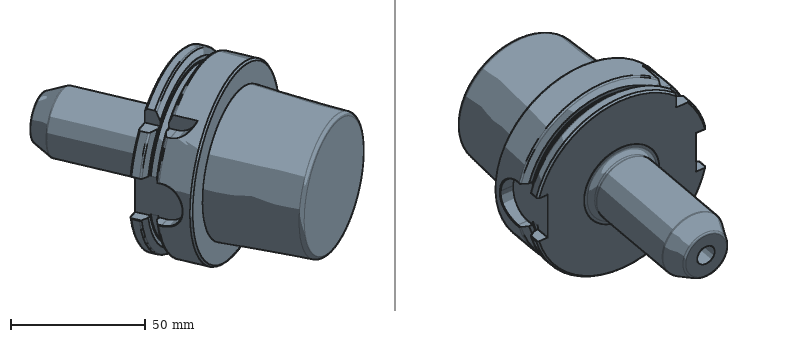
import cadquery as cq
import math

TOTAL_LENGTH = 120.0
TAPER_LENGTH = 40.0
FLANGE_WIDTH = 26.0
TAPER_FACE = TOTAL_LENGTH - TAPER_LENGTH
FLANGE_FACE = TAPER_FACE - FLANGE_WIDTH

TIP_RADIUS = 10.0
TIP_ROUNDING = 1.0
CONE_ANGLE = math.radians(25)
NOSE_RADIUS = 28.0 / 2
NECK_RADIUS = 27.8 / 2
STEP_LENGTH = 0.35
NECK_LENGTH = 3.0
NECK_FILLET = 2.0
FACE_RECESS_RADIUS = 34.5 / 2
FACE_RECESS_DEPTH = 0.1

FLANGE_RADIUS = 80.0 / 2
FLANGE_CHAMFER = 0.8
GROOVE_SETBACK = 18.0
GROOVE_CENTRE = TAPER_FACE - GROOVE_SETBACK
GROOVE_MOUTH = 7.0
GROOVE_FLOOR_WIDTH = 3.5
GROOVE_FLOOR_RADIUS = 35.0
GROOVE_WALL_ANGLE = math.radians(60)
GROOVE_LIP_ROUNDING = 0.9
GROOVE_CORNER_FILLET = 0.3

TAPER_START_RADIUS = 30.4
TAPER_RATIO = 1 / 20
TAPER_END_FILLET = 1.5

CUTTER_RADIUS = 9.0
SLOT_LENGTH = 22.0
SLOT_BOTTOM = 34.0
FRONT_SLOT_WIDTH = 18.0
BACK_SLOT_WIDTH = 20.0
SLOT_RIM_CHAMFER = 0.3
NOTCH_INSET = 25.0

BORE_DIAMETER = 8.0
BORE_DEPTH = 37.0
PILOT_DIAMETER = 6.8
PILOT_END = 50.0
SHOULDER_ANGLE = math.radians(60)

TOLERANCE = 1e-3


def revolve_about_x(profile):
    """Turn a closed (x, radius) profile around the X axis."""
    return profile.revolve(360, (0, 0, 0), (1, 0, 0))


def make_nose():
    cone_length = (NECK_RADIUS - TIP_RADIUS) / math.tan(CONE_ANGLE)
    fillet_end = FLANGE_FACE + FACE_RECESS_DEPTH
    fillet_start = fillet_end - NECK_FILLET
    neck_start = FLANGE_FACE - NECK_LENGTH
    mid_offset = NECK_FILLET * math.sqrt(0.5)
    fillet_top = NECK_RADIUS + NECK_FILLET
    nose = revolve_about_x(
        cq.Workplane("XZ")
        .moveTo(0, 0)
        .lineTo(0, TIP_RADIUS)
        .lineTo(cone_length, NECK_RADIUS)
        .lineTo(cone_length + STEP_LENGTH, NOSE_RADIUS)
        .lineTo(neck_start - STEP_LENGTH, NOSE_RADIUS)
        .lineTo(neck_start, NECK_RADIUS)
        .lineTo(fillet_start, NECK_RADIUS)
        .threePointArc(
            (fillet_start + mid_offset, fillet_top - mid_offset),
            (fillet_end, fillet_top),
        )
        .lineTo(fillet_end, 0)
        .close()
    )
    return nose.faces("<X").edges().fillet(TIP_ROUNDING)


def make_flange():
    blank = revolve_about_x(
        cq.Workplane("XZ")
        .moveTo(FLANGE_FACE, 0)
        .lineTo(FLANGE_FACE, FLANGE_RADIUS - FLANGE_CHAMFER)
        .lineTo(FLANGE_FACE + FLANGE_CHAMFER, FLANGE_RADIUS)
        .lineTo(TAPER_FACE - FLANGE_CHAMFER, FLANGE_RADIUS)
        .lineTo(TAPER_FACE, FLANGE_RADIUS - FLANGE_CHAMFER)
        .lineTo(TAPER_FACE, 0)
        .close()
    )
    face_recess = (
        cq.Workplane("YZ", origin=(FLANGE_FACE, 0, 0))
        .circle(FACE_RECESS_RADIUS)
        .extrude(FACE_RECESS_DEPTH)
    )
    return cut_slots(blank).cut(make_groove()).cut(face_recess)


def make_groove():
    """Ring that cuts the gripper groove together with its rounded lips."""
    half_mouth = GROOVE_MOUTH / 2
    half_floor = GROOVE_FLOOR_WIDTH / 2
    wall_drop = (half_mouth - half_floor) * math.tan(GROOVE_WALL_ANGLE)
    wall_foot_radius = FLANGE_RADIUS - wall_drop
    lip_tangent = GROOVE_LIP_ROUNDING * math.tan(GROOVE_WALL_ANGLE / 2)
    lip_half_width = half_mouth + lip_tangent
    wall_half_width = half_mouth - lip_tangent * math.cos(GROOVE_WALL_ANGLE)
    wall_top_radius = FLANGE_RADIUS - lip_tangent * math.sin(GROOVE_WALL_ANGLE)
    corner_top_radius = GROOVE_FLOOR_RADIUS + GROOVE_CORNER_FILLET
    flat_half_width = half_floor - GROOVE_CORNER_FILLET
    return revolve_about_x(
        cq.Workplane("XZ")
        .moveTo(GROOVE_CENTRE - lip_half_width, FLANGE_RADIUS)
        .radiusArc((GROOVE_CENTRE - wall_half_width, wall_top_radius), GROOVE_LIP_ROUNDING)
        .lineTo(GROOVE_CENTRE - half_floor, wall_foot_radius)
        .lineTo(GROOVE_CENTRE - half_floor, corner_top_radius)
        .radiusArc((GROOVE_CENTRE - flat_half_width, GROOVE_FLOOR_RADIUS), -GROOVE_CORNER_FILLET)
        .lineTo(GROOVE_CENTRE + flat_half_width, GROOVE_FLOOR_RADIUS)
        .radiusArc((GROOVE_CENTRE + half_floor, corner_top_radius), -GROOVE_CORNER_FILLET)
        .lineTo(GROOVE_CENTRE + half_floor, wall_foot_radius)
        .lineTo(GROOVE_CENTRE + wall_half_width, wall_top_radius)
        .radiusArc((GROOVE_CENTRE + lip_half_width, FLANGE_RADIUS), GROOVE_LIP_ROUNDING)
        .close()
    )


def make_taper():
    end_radius = TAPER_START_RADIUS - TAPER_LENGTH * TAPER_RATIO
    taper = revolve_about_x(
        cq.Workplane("XZ")
        .moveTo(TAPER_FACE, 0)
        .lineTo(TAPER_FACE, TAPER_START_RADIUS)
        .lineTo(TOTAL_LENGTH, end_radius)
        .lineTo(TOTAL_LENGTH, 0)
        .close()
    )
    return taper.faces(">X").edges().fillet(TAPER_END_FILLET)


def make_slot(z_min, z_max, y_inner, y_outer):
    """Slot running in from the flange face, its two end corners rounded by the cutter."""
    slot_end = FLANGE_FACE + SLOT_LENGTH
    arc_start = slot_end - CUTTER_RADIUS
    block = cq.Workplane("XZ", origin=(0, y_inner, 0)).moveTo(FLANGE_FACE, z_min)
    block = block.lineTo(arc_start, z_min)
    block = block.radiusArc((slot_end, z_min + CUTTER_RADIUS), -CUTTER_RADIUS)
    if z_max - z_min > 2 * CUTTER_RADIUS:
        block = block.lineTo(slot_end, z_max - CUTTER_RADIUS)
    block = block.radiusArc((arc_start, z_max), -CUTTER_RADIUS)
    block = block.lineTo(FLANGE_FACE, z_max).close()
    return block.extrude(y_inner - y_outer)


def cut_slots(flange):
    """Cut the two drive slots, bevel their edges on the rim, then cut the plain corner notch."""
    front_half = FRONT_SLOT_WIDTH / 2
    back_half = BACK_SLOT_WIDTH / 2
    notch_top = NOTCH_INSET + 2 * CUTTER_RADIUS
    front_slot = make_slot(-front_half, front_half, -SLOT_BOTTOM, -FLANGE_RADIUS)
    back_slot = make_slot(-back_half, back_half, SLOT_BOTTOM, FLANGE_RADIUS)
    corner_notch = make_slot(NOTCH_INSET, notch_top, -NOTCH_INSET, -FLANGE_RADIUS)
    slotted = flange.cut(front_slot).cut(back_slot)
    rim_edges = [edge for edge in slotted.edges().vals() if is_slot_rim(edge)]
    return slotted.newObject(rim_edges).chamfer(SLOT_RIM_CHAMFER).cut(corner_notch)


def is_slot_rim(edge):
    """True for an edge where a slot wall leaves through the cylindrical rim."""
    chamfer_end = FLANGE_FACE + FLANGE_CHAMFER
    on_rim = all(
        abs(math.hypot(point.y, point.z) - FLANGE_RADIUS) < TOLERANCE
        for point in (edge.startPoint(), edge.endPoint())
    )
    middle = edge.positionAt(0.5)
    in_slot = abs(middle.z) < BACK_SLOT_WIDTH / 2 + TOLERANCE
    past_chamfer = chamfer_end + TOLERANCE < middle.x < FLANGE_FACE + SLOT_LENGTH + TOLERANCE
    return on_rim and in_slot and past_chamfer


def make_bore():
    """Tool bore from the tip, a conical shoulder and a flat-ended pilot hole behind it."""
    bore_radius = BORE_DIAMETER / 2
    pilot_radius = PILOT_DIAMETER / 2
    shoulder_length = (bore_radius - pilot_radius) / math.tan(SHOULDER_ANGLE)
    return revolve_about_x(
        cq.Workplane("XZ")
        .moveTo(0, 0)
        .lineTo(0, bore_radius)
        .lineTo(BORE_DEPTH, bore_radius)
        .lineTo(BORE_DEPTH + shoulder_length, pilot_radius)
        .lineTo(PILOT_END, pilot_radius)
        .lineTo(PILOT_END, 0)
        .close()
    )


result = make_flange().union(make_nose()).union(make_taper()).cut(make_bore())